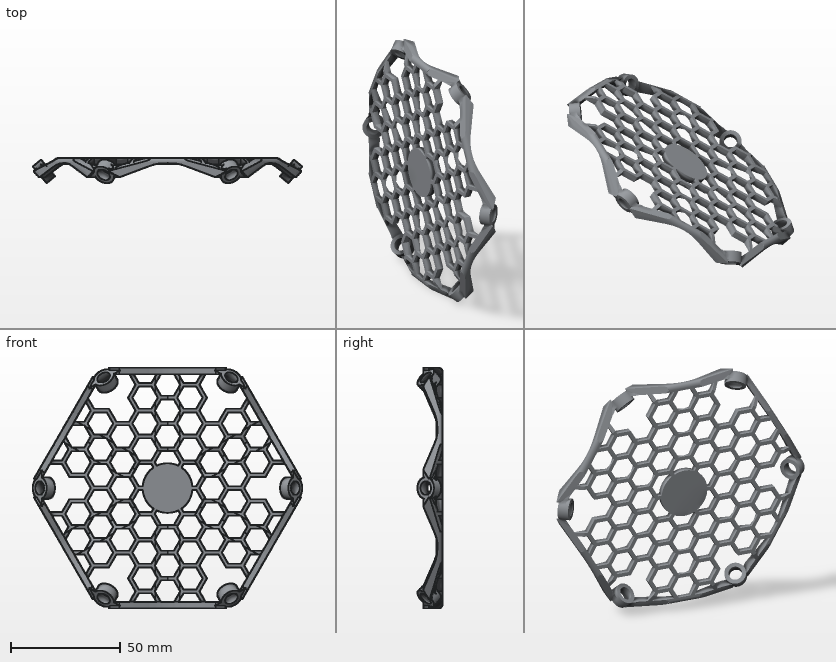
import cadquery as cq
import math

SIDES = 6
SIDE_ANGLE = 360 / SIDES
across_flats = 110.0
apothem = across_flats / 2
rim_width = 3.0
inner_apothem = apothem - rim_width
rim_round = 2.0
plate_thickness = 3.0

cell_hole = 10.0
cell_wall = 1.8
cell_pitch = cell_hole + cell_wall
column_pitch = cell_pitch * math.cos(math.radians(30))
disk_diameter = 22.8
cell_corner = cell_hole / math.sqrt(3)
wall_corner_step = 2 * cell_wall / math.sqrt(3)
first_open_column = 4 * column_pitch
open_corner_radius = first_open_column - column_pitch / 2
open_corner_half_width = 0.75 * cell_pitch

arch_radius = 24.0
arch_half_angle = 20.5
arch_depth = 2.34
arch_half_width = arch_radius * math.sin(math.radians(arch_half_angle))
arch_drop = arch_radius * (1 - math.cos(math.radians(arch_half_angle)))
foot_offset = 22.0
slope_end_depth = arch_depth + arch_drop
foot_depth = slope_end_depth + (foot_offset - arch_half_width) * math.tan(math.radians(arch_half_angle))
groove_start = 17.0
groove_half_width = 5.6
groove_depth = 2.0

bend_radius = 49.8
bend_angle = 28.0
bevel_rise_along = 0.52
bevel_rise_inward = 0.3
bevel_width = 1.2
bar_tip_offset = 4.2
bevel_apothem = apothem - bevel_width

tube_diameter = 10.0
bore_diameter = 6.2
tube_length = 5.0
tube_tilt = 40.0
tube_reach = 61.615
total_depth = 11.63
tube_sin = math.sin(math.radians(tube_tilt))
tube_cos = math.cos(math.radians(tube_tilt))
tube_face_radius = tube_reach - tube_diameter / 2 * tube_sin
tube_face_depth = total_depth - tube_diameter / 2 * tube_cos
flange_edge = (tube_face_depth - foot_depth) / tube_cos
flange_half_width = 8.2
flange_top = 2.4
flange_end_top = 1.8
blend_radius = 3.0

CUT = 40.0


def turned(shape, step):
    """Turn a shape about the Y axis by whole sides of the hexagon."""
    return shape.rotate((0, 0, 0), (0, 1, 0), step * SIDE_ANGLE)


def hexagons(flat_to_flat, depth, centres):
    """Hexagonal prisms with flats facing +Z and -Z, from y = 0 down to -depth."""
    diameter = flat_to_flat / math.cos(math.radians(30))
    return cq.Workplane("XZ").pushPoints(centres).polygon(SIDES, diameter).extrude(depth)


def is_cell(x, z):
    """True where the honeycomb has a cell: inside the rim and clear of the corners."""
    for step in range(SIDES):
        angle = math.radians(step * SIDE_ANGLE)
        radial = x * math.cos(angle) + z * math.sin(angle)
        sideways = abs(z * math.cos(angle) - x * math.sin(angle))
        if radial > open_corner_radius and sideways < open_corner_half_width:
            return False
        flat_angle = angle + math.radians(SIDE_ANGLE / 2)
        if x * math.cos(flat_angle) + z * math.sin(flat_angle) > apothem:
            return False
    return True


def cell_centres():
    reach = math.ceil(apothem / column_pitch)
    centres = []
    for column in range(-reach, reach + 1):
        for row in range(-reach, reach + 1):
            x = column * column_pitch
            z = (row + (column % 2) / 2) * cell_pitch
            if is_cell(x, z):
                centres.append((x, z))
    return centres


def corner_opening():
    """Gap in the honeycomb at the +X corner, following the walls of the cells around it."""
    tip_x = first_open_column - cell_corner
    wall_corner_x = first_open_column + (cell_corner + wall_corner_step) / 2
    next_cell_x = first_open_column + column_pitch - cell_corner / 2
    inner_z = cell_hole / 2
    outer_z = (cell_pitch + cell_hole) / 2
    return (
        cq.Workplane("XZ")
        .moveTo(tip_x, 0)
        .lineTo(first_open_column - cell_corner / 2, inner_z)
        .lineTo(wall_corner_x, inner_z)
        .lineTo(next_cell_x, outer_z)
        .lineTo(across_flats, outer_z)
        .lineTo(across_flats, -outer_z)
        .lineTo(next_cell_x, -outer_z)
        .lineTo(wall_corner_x, -inner_z)
        .lineTo(first_open_column - cell_corner / 2, -inner_z)
        .close()
        .extrude(plate_thickness)
    )


def honeycomb():
    plate = hexagons(2 * inner_apothem, plate_thickness, [(0, 0)])
    plate = plate.cut(hexagons(cell_hole, plate_thickness, cell_centres()))
    disk = cq.Workplane("XZ").circle(disk_diameter / 2).extrude(plate_thickness)
    plate = plate.union(disk)
    for step in range(SIDES):
        plate = plate.cut(turned(corner_opening(), step)).cut(turned(groove(), step))
    return plate


def groove():
    """Shallow V groove in the front of the plate, from near the disk out to the rim."""
    return (
        cq.Workplane("XY", origin=(0, 0, groove_start))
        .polyline(
            [
                (-groove_half_width, -plate_thickness),
                (0, groove_depth - plate_thickness),
                (groove_half_width, -plate_thickness),
            ]
        )
        .close()
        .extrude(inner_apothem - groove_start)
    )


def end_bevel():
    """Block that bevels the outer strip of the rim bar on the +Z side, at its +X end."""
    along = cq.Vector(1, bevel_rise_along, 0)
    inward = cq.Vector(0, bevel_rise_inward, -1)
    plane = cq.Plane(
        origin=(foot_offset, -foot_depth, apothem),
        xDir=along,
        normal=inward.cross(along),
    )
    outer_strip = (
        cq.Workplane("XZ")
        .center(foot_offset + CUT / 2, bevel_apothem + CUT / 2)
        .rect(CUT, CUT)
        .extrude(CUT)
    )
    return cq.Workplane(plane).rect(CUT, CUT).extrude(CUT).intersect(outer_strip)


def rim_bar():
    """Bar along the +Z side of the hexagon."""
    half_side = apothem * math.tan(math.radians(30))
    bar = (
        cq.Workplane("XY", origin=(0, 0, inner_apothem))
        .moveTo(-half_side, 0)
        .lineTo(-half_side, -foot_depth)
        .lineTo(-foot_offset, -foot_depth)
        .lineTo(-arch_half_width, -slope_end_depth)
        .threePointArc((0, -arch_depth), (arch_half_width, -slope_end_depth))
        .lineTo(foot_offset, -foot_depth)
        .lineTo(half_side, -foot_depth)
        .lineTo(half_side, 0)
        .close()
        .extrude(rim_width)
    )
    bar = bar.faces(">Y").edges(">Z").fillet(rim_round)
    bevel = end_bevel()
    return bar.cut(bevel).cut(bevel.mirror("YZ"))


def corner_bend():
    """Block above the sloping back face of the +X corner."""
    bend = math.radians(bend_angle)
    plane = cq.Plane(
        origin=(bend_radius, 0, 0),
        xDir=(0, 0, 1),
        normal=(math.sin(bend), math.cos(bend), 0),
    )
    return cq.Workplane(plane).rect(CUT, CUT).extrude(CUT)


def tube_plane():
    """Plane of the outer tube face at the +X corner: local x climbs the face, normal points out of the part."""
    return cq.Plane(
        origin=(tube_face_radius, -tube_face_depth, 0),
        xDir=(tube_sin, tube_cos, 0),
        normal=(tube_cos, -tube_sin, 0),
    )


def flange():
    """Web joining the tube to its two rim bars, flush with the tube face and blended into the tube."""
    tube_radius = tube_diameter / 2
    arc_u = flange_top + blend_radius
    arc_t = math.sqrt((tube_radius + blend_radius) ** 2 - arc_u**2)
    tangent_angle = math.atan2(arc_t, arc_u)
    tangent_u = tube_radius * math.cos(tangent_angle)
    tangent_t = tube_radius * math.sin(tangent_angle)
    middle_angle = tangent_angle / 2
    middle_u = arc_u - blend_radius * math.cos(middle_angle)
    middle_t = arc_t - blend_radius * math.sin(middle_angle)
    web = (
        cq.Workplane(tube_plane())
        .moveTo(flange_edge, -flange_half_width)
        .lineTo(flange_edge, flange_half_width)
        .lineTo(flange_end_top, flange_half_width)
        .lineTo(flange_top, arc_t)
        .threePointArc((middle_u, middle_t), (tangent_u, tangent_t))
        .lineTo(tangent_u, -tangent_t)
        .threePointArc((middle_u, -middle_t), (flange_top, -arc_t))
        .lineTo(flange_end_top, -flange_half_width)
        .close()
        .extrude(-tube_length)
    )
    inside_bevels = hexagons(2 * bevel_apothem, total_depth, [(0, 0)])
    rim_inside = hexagons(2 * inner_apothem, total_depth, [(0, 0)])
    return web.intersect(inside_bevels).cut(rim_inside)


def corner_front():
    """Block in front of the +X tube face, inside the bevelled outer strip of the rim."""
    block = cq.Workplane(tube_plane()).rect(CUT, CUT).extrude(CUT)
    between_bars = cq.Workplane("XZ").center(apothem, 0).rect(CUT, 2 * bar_tip_offset).extrude(CUT)
    return block.intersect(hexagons(2 * bevel_apothem, CUT, [(0, 0)]).union(between_bars))


def tube(diameter, start, length):
    return cq.Workplane(tube_plane()).workplane(offset=start).circle(diameter / 2).extrude(-length)


def build():
    part = honeycomb()
    rim = rim_bar()
    for step in range(1, SIDES):
        rim = rim.union(turned(rim_bar(), step))
    bend = corner_bend()
    front = corner_front()
    corner = flange().union(tube(tube_diameter, 0, tube_length))
    bore = tube(bore_diameter, tube_length, 3 * tube_length)
    for step in range(SIDES):
        part = part.cut(turned(bend, step))
        rim = rim.cut(turned(front, step)).cut(turned(bend, step))
    for step in range(SIDES):
        rim = rim.union(turned(corner, step))
    part = part.union(rim)
    for step in range(SIDES):
        part = part.cut(turned(bore, step))
    return part


result = build()